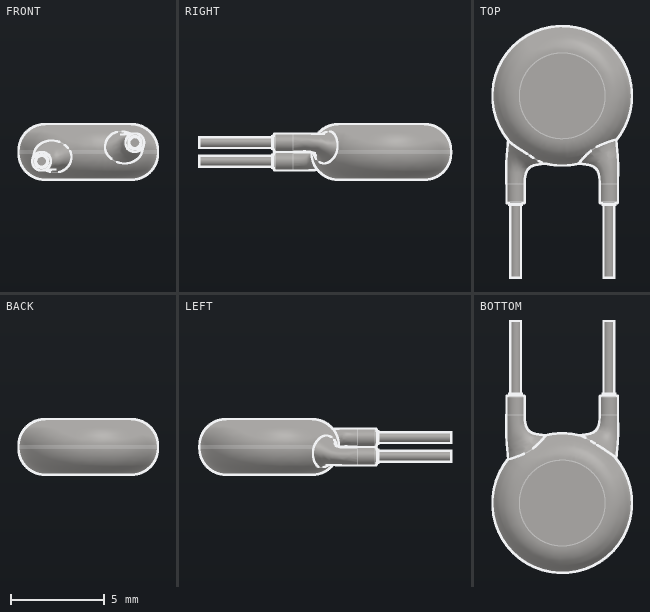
import cadquery as cq

disc_diameter = 7.49
disc_thickness = 3.0
disc_edge_radius = 1.45
disc_radius = disc_diameter / 2

overall_length = 13.5
lead_spacing = 5.0
lead_stagger = 1.0
lead_x = lead_spacing / 2
lead_z = lead_stagger / 2
wire_diameter = 0.6
wire_end_y = disc_radius - overall_length

sleeve_radius = 0.5
sleeve_end_y = -5.76
sleeve_rim_radius = 0.1
collar_diameter = 0.7
collar_length = 0.1

flare_start_y = -4.72
flare_lead_in = 0.27
bend_centre = cq.Vector(2.36, -3.65, 0.47)
root_axis = cq.Vector(17.5, -27.0, 1.9)
bend_half_width = 0.66
bend_half_height = 0.51
mouth_distance = 3.65
mouth_half_width = 1.11
mouth_half_height = 0.78
buried_distance = 3.24
buried_half_width = 1.42
buried_half_height = 0.99


def lead_rod(start_y, end_y, diameter):
    """Cylinder on the +X lead axis, from start_y down to end_y."""
    start = cq.Vector(lead_x, start_y, lead_z)
    return cq.Workplane(
        cq.Solid.makeCylinder(diameter / 2, start_y - end_y, start, cq.Vector(0, -1, 0))
    )


def ring(centre, heading, half_width, half_height):
    """Elliptical section across the heading, with its width kept horizontal."""
    across = heading.cross(cq.Vector(0, 0, 1))
    return cq.Wire.makeEllipse(half_width, half_height, centre, heading, across, rotation_angle=0)


def flared_root():
    """Smooth loft from the straight sleeve, round the bend, to inside the disc."""
    along_lead = cq.Vector(0, 1, 0)
    lead_in_y = flare_start_y + flare_lead_in
    outward = root_axis.normalized()
    inward = outward.multiply(-1)
    bend_heading = (along_lead + inward).normalized()
    sections = [
        ring(cq.Vector(lead_x, flare_start_y, lead_z), along_lead, sleeve_radius, sleeve_radius),
        ring(cq.Vector(lead_x, lead_in_y, lead_z), along_lead, sleeve_radius, sleeve_radius),
        ring(bend_centre, bend_heading, bend_half_width, bend_half_height),
        ring(outward.multiply(mouth_distance), inward, mouth_half_width, mouth_half_height),
        ring(outward.multiply(buried_distance), inward, buried_half_width, buried_half_height),
    ]
    return cq.Workplane(cq.Solid.makeLoft(sections))


def lead():
    """The +X lead: flared root, straight sleeve, collar and bare wire."""
    sleeve = lead_rod(flare_start_y, sleeve_end_y, 2 * sleeve_radius)
    sleeve = sleeve.faces("<Y").edges().fillet(sleeve_rim_radius)
    collar = lead_rod(sleeve_end_y, sleeve_end_y - collar_length, collar_diameter)
    wire = lead_rod(flare_start_y, wire_end_y, wire_diameter)
    return flared_root().union(sleeve).union(collar).union(wire)


disc = (
    cq.Workplane()
    .circle(disc_radius)
    .extrude(disc_thickness / 2, both=True)
    .edges()
    .fillet(disc_edge_radius)
)

right_lead = lead()
left_lead = right_lead.rotate((0, 0, 0), (0, 1, 0), 180)

result = disc.union(right_lead).union(left_lead)